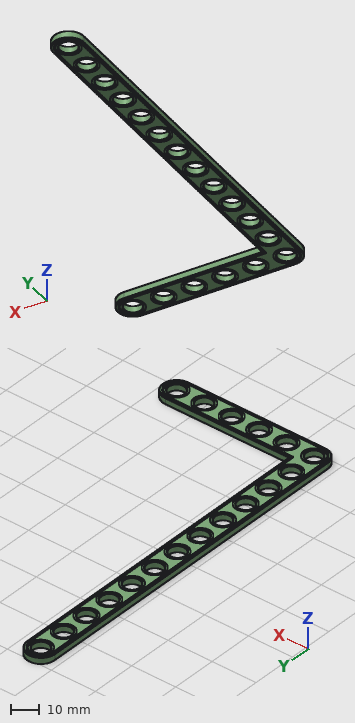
import cadquery as cq

pitch = 12.5
arm_width = pitch
thickness = pitch / 4
holes_along_x = 6
holes_along_y = 13

hole_diameter = 7.0
collar_diameter = 9.2
rim_width = (collar_diameter - hole_diameter) / 2

recess_depth = 0.2
edge_chamfer = 0.3

x_span = (holes_along_x - 1) * pitch
y_span = (holes_along_y - 1) * pitch

hole_centers = [(i * pitch, 0) for i in range(holes_along_x)]
hole_centers += [(0, j * pitch) for j in range(1, holes_along_y)]


def arm(span, angle, width, height):
    """Round-ended bar starting at the corner hole and running in the given direction."""
    return (
        cq.Workplane("XY")
        .transformed(rotate=(0, 0, angle))
        .center(span / 2, 0)
        .slot2D(span + width, width)
        .extrude(height)
    )


def angle_plate(width, height):
    """Two arms joined at the corner hole."""
    along_x = arm(x_span, 0, width, height)
    along_y = arm(y_span, 90, width, height)
    return along_x.union(along_y).clean()


def cylinders(diameter, height):
    """One upright cylinder on every hole centre."""
    return cq.Workplane("XY").pushPoints(hole_centers).circle(diameter / 2).extrude(height)


def drilled_plate():
    """Full-height plate with its holes, chamfered along every edge of both faces."""
    plate = angle_plate(arm_width, thickness).cut(cylinders(hole_diameter, thickness))
    return plate.faces("<Z or >Z").chamfer(edge_chamfer)


def recess():
    """Material removed from one face: the area inside the rim, less the hole collars."""
    floor_area = angle_plate(arm_width - 2 * rim_width, recess_depth)
    return floor_area.cut(cylinders(collar_diameter, recess_depth))


bottom_recess = recess()
top_recess = bottom_recess.translate((0, 0, thickness - recess_depth))
result = drilled_plate().cut(bottom_recess).cut(top_recess)